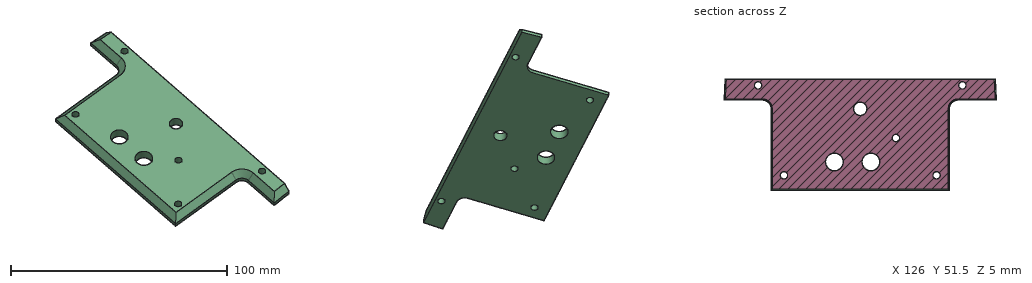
import cadquery as cq

overall_width = 126.0
overall_depth = 51.5
thickness = 5.0

body_width = 82.5
wing_depth = 9.7
wing_end_taper = 0.44
inner_corner_radius = 4.0

bevel = 3.0

screw_diameter = 3.3
wing_screw_x = 47.3
wing_screw_y = -2.9
front_screw_x = 35.3
front_screw_y = -44.5
offset_hole_position = (16.5, -27.2)
centre_hole_diameter = 6.0
centre_hole_position = (0, -13.7)
large_hole_diameter = 8.1
large_hole_positions = [(-12.0, -38.3), (4.9, -38.3)]


def make_plate():
    """T-shaped plate with rounded inner corners and a beveled top rim."""
    half_wing = overall_width / 2
    half_back = half_wing - wing_end_taper
    half_body = body_width / 2
    plate = (
        cq.Workplane("XY")
        .moveTo(-half_back, 0)
        .lineTo(-half_wing, -wing_depth)
        .lineTo(-half_body, -wing_depth)
        .lineTo(-half_body, -overall_depth)
        .lineTo(half_body, -overall_depth)
        .lineTo(half_body, -wing_depth)
        .lineTo(half_wing, -wing_depth)
        .lineTo(half_back, 0)
        .close()
        .extrude(thickness)
    )
    inner_corners = cq.selectors.BoxSelector(
        (-half_body - inner_corner_radius, -wing_depth - inner_corner_radius, 0),
        (half_body + inner_corner_radius, -wing_depth + inner_corner_radius, thickness),
    )
    plate = plate.edges("|Z").edges(inner_corners).fillet(inner_corner_radius)
    return plate.faces(">Z").edges("not(>Y)").chamfer(bevel)


def drill(plate, positions, diameter):
    """Cut round holes through the full thickness."""
    cutters = cq.Workplane("XY").pushPoints(positions).circle(diameter / 2).extrude(thickness)
    return plate.cut(cutters)


screw_positions = [offset_hole_position]
for side in (-1, 1):
    screw_positions.append((side * wing_screw_x, wing_screw_y))
    screw_positions.append((side * front_screw_x, front_screw_y))

result = make_plate()
result = drill(result, screw_positions, screw_diameter)
result = drill(result, [centre_hole_position], centre_hole_diameter)
result = drill(result, large_hole_positions, large_hole_diameter)